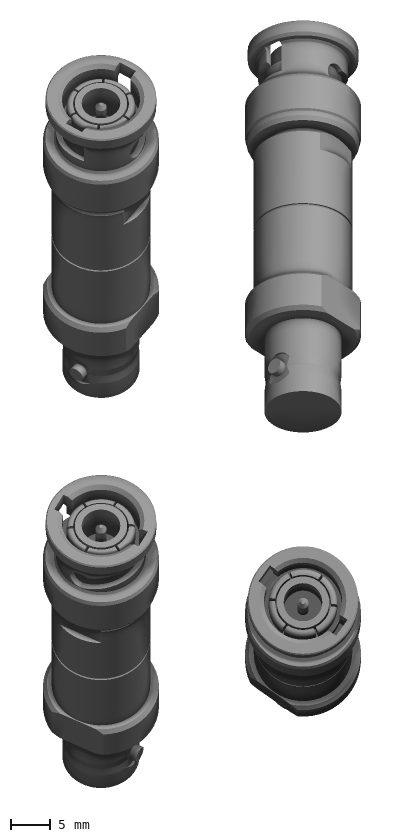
import cadquery as cq
import math


total_height = 54.0
grip_radius = 7.3

jack_radius = 4.85
jack_length = 10.85
jack_groove_z = 4.2
jack_groove_half_width = 1.3
jack_groove_radius = 4.7
lug_radius = 1.0
lug_reach = 5.5
lug_root = 3.25
lug_seat_radius = 2.15
lug_seat_offset = 4.55

collar_top = 16.45
collar_chamfer = 0.5
collar_flat_offset = 6.3

body_radius = 6.2
ring_groove_z = 27.0
ring_groove_width = 0.3
ring_groove_depth = 0.2
cone_bottom = 37.9
body_flat_offset = 5.45
body_flat_bottom = 35.35

nut_bottom = 39.15
nut_bottom_radius = 6.8
nut_band_radius = 7.1
nut_band_bottom = 39.75
nut_band_top = 40.45
nut_grip_bottom = 40.65
nut_top = 45.95
nut_top_chamfer_height = 0.45
nut_top_chamfer_width = 0.25

neck_radius = 5.65
neck_root_chamfer = 0.25
flange_radius = 6.95
flange_bottom = 51.9
flange_edge_top = 52.25
flange_edge_chamfer = 0.3
flange_top_chamfer = 0.15

bore_radius = 4.9
bore_floor = 49.75
bore_chamfer_width = 0.55
bore_chamfer_height = 0.45

slot_half_width = 1.25
slot_reach = 6.0
ramp_angle = 13.5
ramp_width = 2.4
detent_radius = 1.5
detent_z = 47.9

sleeve_outer_radius = 4.3
sleeve_inner_radius = 3.5
sleeve_top = 52.7
sleeve_tip_fillet = 0.55
sleeve_slit_width = 0.3
sleeve_slit_count = 6
insulator_radius = 3.3
insulator_top = 52.8
insulator_bore_radius = 2.45
insulator_bore_depth = 5.4
pin_radius = 0.7
pin_top = 52.65
pin_tip_radius = 0.2
pin_tip_length = 0.6


def cylinder(radius, bottom, top):
    return cq.Workplane("XY").workplane(offset=bottom).circle(radius).extrude(top - bottom)


def revolve_profile(points):
    """Revolve a closed (radius, z) outline about the Z axis."""
    return cq.Workplane("XZ").polyline(points).close().revolve(360, (0, 0, 0), (0, 1, 0))


def flat_cutters(offset, bottom, top):
    """Blocks that leave flats on the -X and +X sides at the given distance from the axis."""
    size = 2 * grip_radius
    block = cq.Workplane("XY").box(size, size, top - bottom, centered=(False, True, False))
    right = block.translate((offset, 0, bottom))
    return right.union(right.mirror("YZ"))


def make_jack():
    shell = revolve_profile([
        (0, 0),
        (jack_radius, 0),
        (jack_radius, jack_groove_z - jack_groove_half_width),
        (jack_groove_radius, jack_groove_z),
        (jack_radius, jack_groove_z + jack_groove_half_width),
        (jack_radius, jack_length),
        (0, jack_length),
    ])
    for side in (-1, 1):
        seat = cq.Workplane("XZ", origin=(0, side * lug_seat_offset, jack_groove_z))
        shell = shell.cut(seat.circle(lug_seat_radius).extrude(-side * lug_reach))
        lug_base = cq.Workplane("XZ", origin=(0, side * lug_root, jack_groove_z))
        lug = lug_base.circle(lug_radius).extrude(-side * (lug_reach - lug_root))
        shell = shell.union(lug)
    return shell


def make_wrench_collar():
    collar = cylinder(grip_radius, jack_length, collar_top).edges().chamfer(collar_chamfer)
    return collar.cut(flat_cutters(collar_flat_offset, jack_length, collar_top))


def make_body():
    groove_radius = body_radius - ring_groove_depth
    groove_bottom = ring_groove_z - ring_groove_width / 2
    groove_top = ring_groove_z + ring_groove_width / 2
    shoulder_top_radius = body_radius - (nut_bottom - cone_bottom)
    body = revolve_profile([
        (0, collar_top),
        (body_radius, collar_top),
        (body_radius, groove_bottom),
        (groove_radius, groove_bottom),
        (groove_radius, groove_top),
        (body_radius, groove_top),
        (body_radius, cone_bottom),
        (shoulder_top_radius, nut_bottom),
        (0, nut_bottom),
    ])
    return body.cut(flat_cutters(body_flat_offset, body_flat_bottom, nut_bottom))


def make_coupling():
    return revolve_profile([
        (0, nut_bottom),
        (nut_bottom_radius, nut_bottom),
        (nut_band_radius, nut_band_bottom),
        (nut_band_radius, nut_band_top),
        (grip_radius, nut_grip_bottom),
        (grip_radius, nut_top - nut_top_chamfer_height),
        (grip_radius - nut_top_chamfer_width, nut_top),
        (neck_radius + neck_root_chamfer, nut_top),
        (neck_radius, nut_top + neck_root_chamfer),
        (neck_radius, flange_bottom - neck_root_chamfer),
        (neck_radius + neck_root_chamfer, flange_bottom),
        (flange_radius - flange_edge_chamfer, flange_bottom),
        (flange_radius, flange_edge_top),
        (flange_radius, total_height - flange_top_chamfer),
        (flange_radius - flange_top_chamfer, total_height),
        (bore_radius + bore_chamfer_width, total_height),
        (bore_radius, total_height - bore_chamfer_height),
        (bore_radius, bore_floor),
        (0, bore_floor),
    ])


def make_bayonet_slot():
    """Entry slot on the -Y side, ramp toward -X and round detent on the -X side."""
    slope = math.tan(math.radians(ramp_angle))
    ramp_low = detent_z - detent_radius / math.cos(math.radians(ramp_angle))
    ramp_high = ramp_low + ramp_width
    ramp_rise = slot_reach * slope
    side_plane = cq.Workplane("YZ", origin=(slot_half_width, 0, 0))
    ramp = side_plane.polyline([
        (0, ramp_low),
        (0, ramp_high),
        (-slot_reach, ramp_high + ramp_rise),
        (-slot_reach, ramp_low + ramp_rise),
    ]).close().extrude(-slot_reach - slot_half_width)
    detent = cq.Workplane("YZ").center(0, detent_z).circle(detent_radius).extrude(-slot_reach)
    entry_bottom = ramp_high
    entry = (
        cq.Workplane("XY", origin=(0, -slot_reach / 2, entry_bottom))
        .rect(2 * slot_half_width, slot_reach)
        .extrude(total_height - entry_bottom)
    )
    core = cylinder(bore_radius, nut_top, total_height)
    return ramp.union(detent).union(entry).cut(core)


def make_sleeve():
    sleeve = cylinder(sleeve_outer_radius, bore_floor, sleeve_top)
    sleeve = sleeve.faces(">Z").edges().fillet(sleeve_tip_fillet)
    sleeve = sleeve.cut(cylinder(sleeve_inner_radius, bore_floor, sleeve_top))
    slit = (
        cq.Workplane("XY", origin=(0, 0, bore_floor))
        .rect(2 * grip_radius, sleeve_slit_width)
        .extrude(sleeve_top - bore_floor)
    )
    for index in range(sleeve_slit_count // 2):
        sleeve = sleeve.cut(slit.rotate((0, 0, 0), (0, 0, 1), index * 360 / sleeve_slit_count))
    return sleeve


def make_pin():
    pin_bottom = insulator_top - insulator_bore_depth
    return revolve_profile([
        (0, pin_bottom),
        (pin_radius, pin_bottom),
        (pin_radius, pin_top - pin_tip_length),
        (pin_tip_radius, pin_top),
        (0, pin_top),
    ])


adapter = make_jack().union(make_wrench_collar()).union(make_body()).union(make_coupling())

bayonet_slot = make_bayonet_slot()
for turn in (0, 180):
    adapter = adapter.cut(bayonet_slot.rotate((0, 0, 0), (0, 0, 1), turn))

adapter = adapter.union(make_sleeve())
adapter = adapter.union(cylinder(insulator_radius, bore_floor, insulator_top))
insulator_bore = cylinder(insulator_bore_radius, insulator_top - insulator_bore_depth, insulator_top)
adapter = adapter.cut(insulator_bore)
result = adapter.union(make_pin())